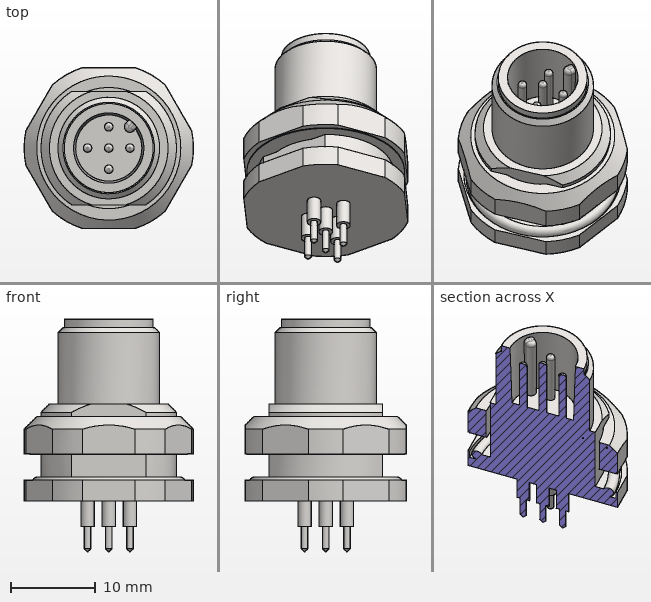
import cadquery as cq
import math


HEX_ACROSS_FLATS = 19.0
HEX_ROUND_RADIUS = 10.0
FLANGE_TOP = 2.5
NUT_BOTTOM = 5.6
NUT_TOP = 10.0
NUT_CHAMFER = 1.5
NUT_BORE_RADIUS = 7.15
WASHER_FACE_RADIUS = 9.3
WASHER_FACE_HEIGHT = 0.1

RING_TUBE_RADIUS = 0.7
RING_RADIUS = 8.37
RING_TOP = 2.87
GROOVE_OUTER_RADIUS = 9.3
GROOVE_FLOOR = 1.5

SHANK_RADIUS = 8.0
SHANK_ACROSS_FLATS = 13.4
SHANK_TOP = 11.5
SHANK_CHAMFER = 1.0

SLEEVE_RADIUS = 6.0
SLEEVE_SHOULDER = 20.5
SLEEVE_CHAMFER = 0.6
RIM_RADIUS = 5.25
SLEEVE_TOP = 21.5

SOCKET_FLOOR = 12.5
SOCKET_TOP_RADIUS = 4.15
SOCKET_FLOOR_RADIUS = 3.9

PIN_SPACING = 2.5
PIN_POSITIONS = [
    (0, 0),
    (PIN_SPACING, 0),
    (0, PIN_SPACING),
    (-PIN_SPACING, 0),
    (0, -PIN_SPACING),
]
PIN_RADIUS = 0.5
PIN_EDGE_RADIUS = 0.4
OUTER_PIN_TOP = 19.5
CENTER_PIN_TOP = 20.5
TAIL_RADIUS = 0.8
TAIL_STEP = -3.0
TAIL_TIP_RADIUS = 0.4
TAIL_END = -6.0

KEY_ANGLE = 45.0
KEY_OFFSET = PIN_SPACING * math.sqrt(2)
KEY_WIDTH = 1.3
KEY_TOP = 21.0
KEY_EDGE_RADIUS = 0.5


def cylinder(radius, bottom, top):
    return cq.Workplane("XY").workplane(offset=bottom).circle(radius).extrude(top - bottom)


def rounded_hexagon(bottom, top, chamfer=0.0):
    """Hexagon with flats facing +Y and -Y, turned down to a cylinder whose top may be chamfered."""
    across_corners = HEX_ACROSS_FLATS / math.cos(math.pi / 6)
    prism = cq.Workplane("XY").workplane(offset=bottom).polygon(6, across_corners).extrude(top - bottom)
    blank = cylinder(HEX_ROUND_RADIUS, bottom, top)
    if chamfer:
        blank = blank.faces(">Z").chamfer(chamfer)
    return prism.intersect(blank)


def make_flange():
    groove = cylinder(GROOVE_OUTER_RADIUS, GROOVE_FLOOR, FLANGE_TOP)
    groove = groove.cut(cylinder(SHANK_RADIUS, GROOVE_FLOOR, FLANGE_TOP))
    return rounded_hexagon(0, FLANGE_TOP).cut(groove)


def make_sealing_ring():
    center_height = RING_TOP - RING_TUBE_RADIUS
    tube = cq.Workplane("XZ").center(RING_RADIUS, center_height).circle(RING_TUBE_RADIUS)
    return tube.revolve(360, (-RING_RADIUS, 0), (-RING_RADIUS, 1))


def make_nut():
    nut = rounded_hexagon(NUT_BOTTOM, NUT_TOP, NUT_CHAMFER)
    washer_face_bottom = NUT_BOTTOM - WASHER_FACE_HEIGHT
    nut = nut.union(cylinder(WASHER_FACE_RADIUS, washer_face_bottom, NUT_BOTTOM))
    return nut.cut(cylinder(NUT_BORE_RADIUS, washer_face_bottom, NUT_TOP))


def make_shank():
    shank = cylinder(SHANK_RADIUS, 0, SHANK_TOP).faces(">Z").chamfer(SHANK_CHAMFER)
    flats = cq.Workplane("XY").rect(2 * SHANK_RADIUS, SHANK_ACROSS_FLATS).extrude(SHANK_TOP)
    return shank.intersect(flats)


def make_sleeve():
    sleeve = cylinder(SLEEVE_RADIUS, 0, SLEEVE_SHOULDER).faces(">Z").chamfer(SLEEVE_CHAMFER)
    return sleeve.union(cylinder(RIM_RADIUS, 0, SLEEVE_TOP))


def make_socket():
    return (
        cq.Workplane("XZ")
        .moveTo(0, SOCKET_FLOOR)
        .lineTo(SOCKET_FLOOR_RADIUS, SOCKET_FLOOR)
        .lineTo(SOCKET_TOP_RADIUS, SLEEVE_TOP)
        .lineTo(0, SLEEVE_TOP)
        .close()
        .revolve(360, (0, 0), (0, 1))
    )


def make_key():
    """Round-nosed rib from the socket floor, merging outwards into the sleeve wall."""
    length = RIM_RADIUS - KEY_OFFSET
    half_width = KEY_WIDTH / 2
    rib = (
        cq.Workplane("XY", origin=(KEY_OFFSET, 0, SOCKET_FLOOR))
        .moveTo(length, -half_width)
        .lineTo(0, -half_width)
        .threePointArc((-half_width, 0), (0, half_width))
        .lineTo(length, half_width)
        .close()
        .extrude(KEY_TOP - SOCKET_FLOOR)
    )
    rib = rib.faces(">Z").edges("not >X").fillet(KEY_EDGE_RADIUS)
    mid_wall_radius = (RIM_RADIUS + SOCKET_TOP_RADIUS) / 2
    rib = rib.intersect(cylinder(mid_wall_radius, SOCKET_FLOOR, KEY_TOP))
    return rib.rotate((0, 0, 0), (0, 0, 1), KEY_ANGLE)


def make_contact(x, y):
    """Domed pin in the socket and stepped solder tail with a pointed end below the flange."""
    top = CENTER_PIN_TOP if (x, y) == (0, 0) else OUTER_PIN_TOP
    pin = cylinder(PIN_RADIUS, 0, top).faces(">Z").edges().fillet(PIN_EDGE_RADIUS)
    tail = (
        cq.Workplane("XZ")
        .moveTo(0, TAIL_END)
        .lineTo(TAIL_TIP_RADIUS, TAIL_END + TAIL_TIP_RADIUS)
        .lineTo(TAIL_TIP_RADIUS, TAIL_STEP)
        .lineTo(TAIL_RADIUS, TAIL_STEP)
        .lineTo(TAIL_RADIUS, FLANGE_TOP)
        .lineTo(0, FLANGE_TOP)
        .close()
        .revolve(360, (0, 0), (0, 1))
    )
    return pin.union(tail).translate((x, y, 0))


result = make_flange().union(make_shank()).union(make_sealing_ring()).union(make_nut())
result = result.union(make_sleeve()).cut(make_socket()).union(make_key())
for pin_x, pin_y in PIN_POSITIONS:
    result = result.union(make_contact(pin_x, pin_y))